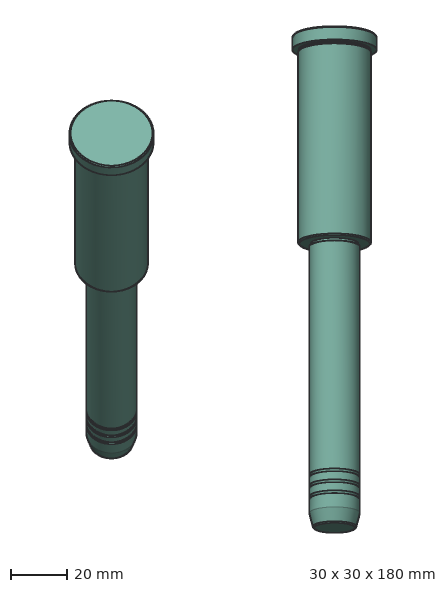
import cadquery as cq

total_length = 180.0
head_height = 5.0
body_length = 71.0

head_diameter = 30.0
body_diameter = 26.0
shaft_diameter = 18.0
tip_diameter = 15.5

head_chamfer = 0.5
body_chamfer = 0.5
tip_chamfer = 0.5

relief_width = 1.0
shaft_relief_depth = 0.5
body_relief_depth = 0.22
relief_slope_height = 0.5

nose_length = 5.5
nose_bulge = 0.05

ring_count = 3
ring_pitch = 4.0
ring_radius = 0.5
first_ring_height = 11.0

head_radius = head_diameter / 2
body_radius = body_diameter / 2
shaft_radius = shaft_diameter / 2
tip_radius = tip_diameter / 2
head_bottom = total_length - head_height
body_bottom = head_bottom - body_length


def make_pin():
    """Turned pin without its ring grooves; the profile lies on the +X side of the Z axis."""
    nose_middle_radius = (shaft_radius + tip_radius) / 2 + nose_bulge
    nose_middle_height = (tip_chamfer + nose_length) / 2
    body_neck_radius = body_radius - body_relief_depth
    shaft_neck_radius = shaft_radius - shaft_relief_depth
    body_relief_bottom = head_bottom - relief_width

    profile = (
        cq.Workplane("XZ")
        .moveTo(0, 0)
        .lineTo(tip_radius - tip_chamfer, 0)
        .lineTo(tip_radius, tip_chamfer)
        .threePointArc((nose_middle_radius, nose_middle_height), (shaft_radius, nose_length))
        .lineTo(shaft_radius, body_bottom - relief_width)
        .lineTo(shaft_neck_radius, body_bottom - relief_width)
        .lineTo(shaft_neck_radius, body_bottom)
        .lineTo(body_radius - body_chamfer, body_bottom)
        .lineTo(body_radius, body_bottom + body_chamfer)
        .lineTo(body_radius, body_relief_bottom)
        .lineTo(body_neck_radius, body_relief_bottom + relief_slope_height)
        .lineTo(body_neck_radius, head_bottom)
        .lineTo(head_radius, head_bottom)
        .lineTo(head_radius, total_length - head_chamfer)
        .lineTo(head_radius - head_chamfer, total_length)
        .lineTo(0, total_length)
        .close()
    )
    return profile.revolve(360, (0, 0, 0), (0, 1, 0))


def make_ring_cutter(height):
    """Torus centred on the shaft surface, which leaves a half-round groove."""
    section = cq.Workplane("XZ").center(shaft_radius, height).circle(ring_radius)
    return section.revolve(360, (-shaft_radius, 0, 0), (-shaft_radius, 1, 0))


result = make_pin()
for ring_index in range(ring_count):
    result = result.cut(make_ring_cutter(first_ring_height + ring_index * ring_pitch))